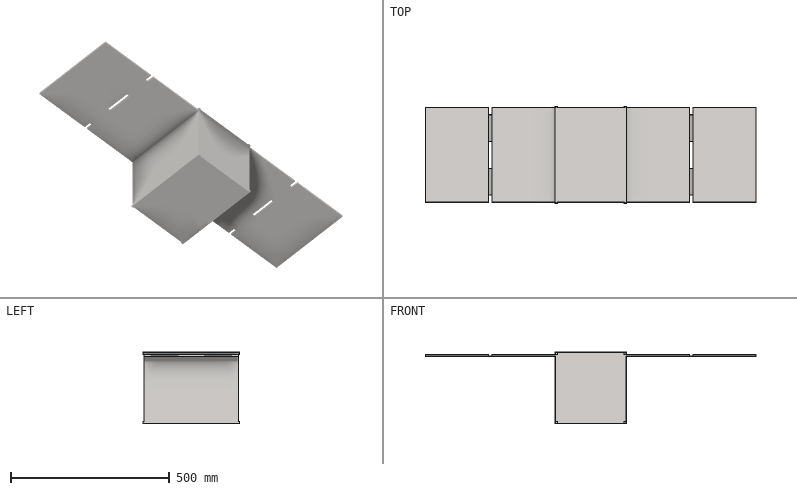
import cadquery as cq

span = 1046.0
rail_length = 307.0
body_side = 226.0

body_depth = 300.0
rail_side = 7.0

hinge_gap = 10.0
wing_reach = (span - body_side) / 2
panel_width = (wing_reach - hinge_gap) / 2
panel_thickness = 6.0
panel_top = body_side / 2 - rail_side
panel_mid = panel_top - panel_thickness / 2
hinge_length = 85.0
hinge_offset = 85.0
hinge_thickness = 1.0


def block(size, center):
    """Box of the given (x, y, z) size centred on a point."""
    return cq.Workplane("XY").box(*size).translate(center)


def make_body():
    """Solid body with slightly overlong rails in its corners."""
    body = block((body_side, body_depth, body_side), (0, 0, 0))
    rail_center = (body_side - rail_side) / 2
    for x_side in (-1, 1):
        for z_side in (-1, 1):
            center = (x_side * rail_center, 0, z_side * rail_center)
            body = body.union(block((rail_side, rail_length, rail_side), center))
    return body


def make_wing(side):
    """Inner and outer panels with hinge strips flush underneath; side is -1 or 1 along X."""
    inner_x = side * (body_side + panel_width) / 2
    outer_x = side * (span - panel_width) / 2
    panel_size = (panel_width, body_depth, panel_thickness)
    wing = block(panel_size, (inner_x, 0, panel_mid))
    wing = wing.union(block(panel_size, (outer_x, 0, panel_mid)))
    hinge_x = (inner_x + outer_x) / 2
    hinge_size = (hinge_gap, hinge_length, hinge_thickness)
    hinge_z = panel_top - panel_thickness + hinge_thickness / 2
    for y_side in (-1, 1):
        center = (hinge_x, y_side * hinge_offset, hinge_z)
        wing = wing.union(block(hinge_size, center))
    return wing


result = make_body().union(make_wing(-1)).union(make_wing(1))